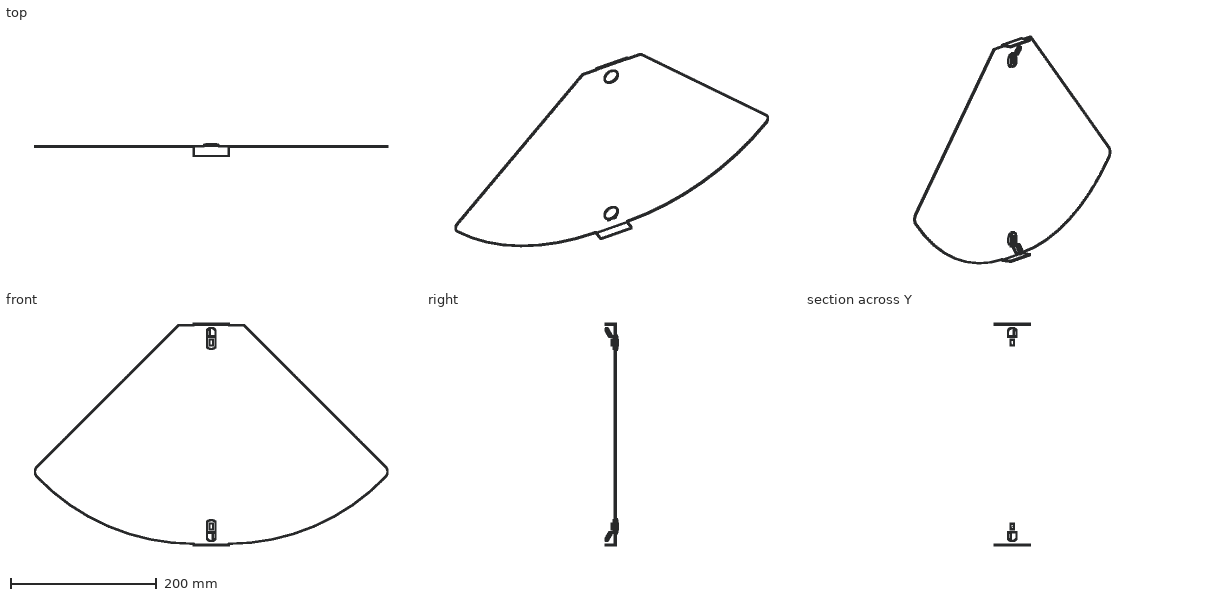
import cadquery as cq
import math


sheet_thickness = 1.5
overall_height = 304.0
flange_step = 2.0
flange_width = 48.0
overall_depth = 16.98
top_edge_width = 90.0
side_angle = 45.0
corner_radius = 10.0
bottom_arc_radius = 297.6

disc_diameter = 20.0
disc_rim = 1.7
disc_dome = 1.3
stud_width = 5.0
stud_height = 8.0
stud_projection = 3.0
stud_inset = 24.0

lever_thickness = 1.5
lever_width = 12.0
plate_end_radius = 8.7
ledge_height = 7.7
ledge_reach = 3.1
tab_tip_height = 20.2
tab_end_radius = 6.5
tab_lean = 30.0
lip_fold = 30.0
lip_start = 2.0

half_height = overall_height / 2
fan_edge = half_height - flange_step
flange_reach = overall_depth - disc_rim - disc_dome - sheet_thickness
stud_axis_z = fan_edge - stud_inset


def make_panel():
    half_top = top_edge_width / 2
    half_flange = flange_width / 2

    arc_centre_z = bottom_arc_radius - fan_edge

    slope = math.radians(side_angle)
    from_centre_x = half_top - half_flange
    from_centre_z = fan_edge - arc_centre_z
    along = from_centre_x * math.cos(slope) - from_centre_z * math.sin(slope)
    from_centre_squared = from_centre_x**2 + from_centre_z**2
    side_length = -along + math.sqrt(along**2 - from_centre_squared + bottom_arc_radius**2)
    corner_x = half_top + side_length * math.cos(slope)
    corner_z = fan_edge - side_length * math.sin(slope)

    arc_span = math.asin((corner_x - half_flange) / bottom_arc_radius)
    arc_mid_x = half_flange + bottom_arc_radius * math.sin(arc_span / 2)
    arc_mid_z = arc_centre_z - bottom_arc_radius * math.cos(arc_span / 2)

    fan = (
        cq.Workplane("XZ")
        .moveTo(-half_top, fan_edge)
        .lineTo(half_top, fan_edge)
        .lineTo(corner_x, corner_z)
        .threePointArc((arc_mid_x, arc_mid_z), (half_flange, -fan_edge))
        .lineTo(-half_flange, -fan_edge)
        .threePointArc((-arc_mid_x, arc_mid_z), (-corner_x, corner_z))
        .close()
        .extrude(-sheet_thickness)
    )
    fan = fan.edges("<X or >X").fillet(corner_radius)

    strip = (
        cq.Workplane("XY")
        .box(flange_width, sheet_thickness, overall_height)
        .translate((0, sheet_thickness / 2, 0))
    )
    panel = fan.union(strip)

    flange = cq.Workplane("XY").box(flange_width, flange_reach + sheet_thickness, sheet_thickness)
    flange_y = (sheet_thickness - flange_reach) / 2
    flange_z = half_height - sheet_thickness / 2
    for side in (1, -1):
        panel = panel.union(flange.translate((0, flange_y, side * flange_z)))
        panel = panel.cut(place_at(make_stud(), side))
    return panel


def make_stud():
    length = sheet_thickness + lever_thickness + stud_projection
    return (
        cq.Workplane("XZ", origin=(0, sheet_thickness, 0))
        .rect(stud_width, stud_height)
        .extrude(length)
    )


def make_retainer():
    """Retainer with its stud's axis on the Y axis."""
    radius = disc_diameter / 2
    rim_back = sheet_thickness + disc_rim
    dome_radius = (radius**2 + disc_dome**2) / (2 * disc_dome)
    half_angle = math.asin(radius / dome_radius) / 2
    dome_mid = (
        dome_radius * math.sin(half_angle),
        rim_back + disc_dome - dome_radius * (1 - math.cos(half_angle)),
    )
    disc = (
        cq.Workplane("XY")
        .moveTo(0, sheet_thickness)
        .lineTo(radius, sheet_thickness)
        .lineTo(radius, rim_back)
        .threePointArc(dome_mid, (0, rim_back + disc_dome))
        .close()
        .revolve(360, (0, 0), (0, 1))
    )
    return disc.union(make_stud())


def make_lever():
    """Lever around a stud on the Y axis, with its finger tab pointing up."""
    half_width = lever_width / 2
    ledge_far = ledge_height + lever_thickness
    ledge_front = -lever_thickness - ledge_reach

    plate_side_z = -math.sqrt(plate_end_radius**2 - half_width**2)
    plate = (
        cq.Workplane("XZ")
        .moveTo(-half_width, ledge_far)
        .lineTo(-half_width, plate_side_z)
        .threePointArc((0, -plate_end_radius), (half_width, plate_side_z))
        .lineTo(half_width, ledge_far)
        .close()
        .extrude(lever_thickness)
    )
    ledge = (
        cq.Workplane("XY", origin=(0, 0, ledge_height))
        .moveTo(0, ledge_front / 2)
        .rect(lever_width, -ledge_front)
        .extrude(lever_thickness)
    )

    fold = math.radians(lip_fold)
    lip_span = half_width - lip_start + lever_thickness
    lip_rise = lip_span * math.tan(fold)
    back_fold_x = -lip_start - lever_thickness * math.tan(fold / 2)
    lip_back_gap = lever_thickness / math.cos(fold)
    lip_end_x = -lip_start - lip_span
    section = [
        (half_width, 0),
        (-lip_start, 0),
        (lip_end_x, -lip_rise),
        (lip_end_x, lip_back_gap - lip_rise),
        (back_fold_x, lever_thickness),
        (half_width, lever_thickness),
    ]
    lean = math.radians(tab_lean)
    section_plane = cq.Plane(
        origin=(0, ledge_front, ledge_height),
        xDir=(1, 0, 0),
        normal=(0, -math.sin(lean), math.cos(lean)),
    )
    tab = cq.Workplane(section_plane).polyline(section).close().extrude(tab_tip_height, both=True)

    tab_side_z = tab_tip_height - tab_end_radius + math.sqrt(tab_end_radius**2 - half_width**2)
    outline = (
        cq.Workplane("XZ")
        .moveTo(-half_width, ledge_height)
        .lineTo(-half_width, tab_side_z)
        .threePointArc((0, tab_tip_height), (half_width, tab_side_z))
        .lineTo(half_width, ledge_height)
        .close()
        .extrude(overall_depth)
    )
    return plate.union(ledge).union(tab.intersect(outline)).cut(make_stud())


def place_at(body, side):
    """Top place for side 1; the bottom place is the top one turned half a turn about the Y axis."""
    angle = 0 if side == 1 else 180
    return body.translate((0, 0, stud_axis_z)).rotate((0, 0, 0), (0, 1, 0), angle)


panel = make_panel()
retainers = [place_at(make_retainer(), side) for side in (1, -1)]
levers = [place_at(make_lever(), side) for side in (1, -1)]

result = cq.Compound.makeCompound([panel.val(), *[b.val() for b in retainers + levers]])